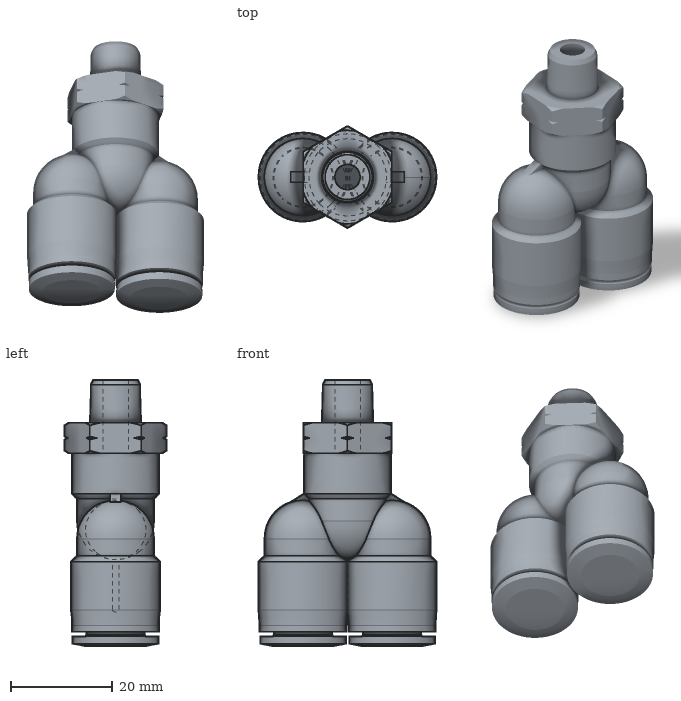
import cadquery as cq
import math

ring_edge_z = 0.5
ring_top_z = 1.95
collar_flare_z = 2.3
sleeve_bottom_z = 2.85
sleeve_taper_bottom_z = 4.2
sleeve_taper_top_z = 7.2
shoulder_bottom_z = 16.75
shoulder_top_z = 17.85
dome_center_z = 21.25
neck_ball_z = 24.8
neck_top_z = 29.15
body_bottom_z = 30.15
hex_bottom_z = 38.1
hex_top_z = 44.15
total_height = 52.6

leg_radius = 8.81
leg_pitch = 17.55
dome_radius = 7.65
sleeve_end_radius = 17.2 / 2
ring_radius = 17.0 / 2
ring_face_radius = 5.75
collar_radius = 11.5 / 2
collar_flare_radius = 5.95

neck_radius = dome_radius
body_radius = 17.2 / 2

hex_corner_diameter = 20.15
hex_corner_radius = hex_corner_diameter / 2
hex_face_radius = 9.2
hex_chamfer_height = 0.5
hex_groove_radius = 9.45
hex_groove_half_height = 0.3

spigot_base_radius = 5.1
spigot_tip_radius = 4.9
spigot_face_radius = 4.4
spigot_chamfer_height = 0.95
bore_diameter = 5.0
bore_depth = total_height - hex_bottom_z

rib_width = 2.1
rib_outer_x = 11.2


def revolve_profile(points):
    """Solid of revolution about Z from (radius, height) points."""
    profile = cq.Workplane("XZ").polyline(points).close()
    return profile.revolve(360, (0, 0, 0), (0, 1, 0))


def make_leg(center_x):
    """Domed tube socket with its release ring."""
    leg = (
        cq.Workplane("XZ")
        .moveTo(0, 0)
        .lineTo(ring_face_radius, 0)
        .lineTo(ring_radius, ring_edge_z)
        .lineTo(ring_radius, ring_top_z)
        .lineTo(collar_flare_radius, ring_top_z)
        .lineTo(collar_radius, collar_flare_z)
        .lineTo(collar_radius, sleeve_bottom_z)
        .lineTo(sleeve_end_radius, sleeve_bottom_z)
        .lineTo(sleeve_end_radius, sleeve_taper_bottom_z)
        .lineTo(leg_radius, sleeve_taper_top_z)
        .lineTo(leg_radius, shoulder_bottom_z)
        .lineTo(dome_radius, shoulder_top_z)
        .lineTo(dome_radius, dome_center_z)
        .radiusArc((0, dome_center_z + dome_radius), -dome_radius)
        .close()
        .revolve(360, (0, 0, 0), (0, 1, 0))
    )
    return leg.translate((center_x, 0, 0))


def make_body():
    """Round-bottomed neck below the cylindrical body."""
    return (
        cq.Workplane("XZ")
        .moveTo(0, neck_ball_z - neck_radius)
        .radiusArc((neck_radius, neck_ball_z), -neck_radius)
        .lineTo(neck_radius, neck_top_z)
        .lineTo(body_radius, body_bottom_z)
        .lineTo(body_radius, hex_bottom_z)
        .lineTo(0, hex_bottom_z)
        .close()
        .revolve(360, (0, 0, 0), (0, 1, 0))
    )


def make_hex():
    """Hexagon with chamfered corners and a shallow V notch halfway up each."""
    prism = (
        cq.Workplane("XY")
        .workplane(offset=hex_bottom_z)
        .polygon(6, hex_corner_diameter)
        .extrude(hex_top_z - hex_bottom_z)
        .rotate((0, 0, 0), (0, 0, 1), 90)
    )
    middle_z = (hex_bottom_z + hex_top_z) / 2
    envelope = revolve_profile([
        (0, hex_bottom_z),
        (hex_face_radius, hex_bottom_z),
        (hex_corner_radius, hex_bottom_z + hex_chamfer_height),
        (hex_corner_radius, middle_z - hex_groove_half_height),
        (hex_groove_radius, middle_z),
        (hex_corner_radius, middle_z + hex_groove_half_height),
        (hex_corner_radius, hex_top_z - hex_chamfer_height),
        (hex_face_radius, hex_top_z),
        (0, hex_top_z),
    ])
    return prism.intersect(envelope)


def make_spigot():
    """Tapered spigot with a chamfered tip."""
    return revolve_profile([
        (0, hex_top_z),
        (spigot_base_radius, hex_top_z),
        (spigot_tip_radius, total_height - spigot_chamfer_height),
        (spigot_face_radius, total_height),
        (0, total_height),
    ])


def make_rib(side):
    """Sloping rib from the body edge down to the dome surface."""
    dome_offset = rib_outer_x - leg_pitch / 2
    rib_outer_z = dome_center_z + math.sqrt(dome_radius**2 - dome_offset**2)
    points = [
        (side * neck_radius, dome_center_z),
        (side * neck_radius, body_bottom_z),
        (side * body_radius, body_bottom_z),
        (side * rib_outer_x, rib_outer_z),
        (side * rib_outer_x, dome_center_z),
    ]
    return cq.Workplane("XZ").polyline(points).close().extrude(rib_width / 2, both=True)


result = make_body().union(make_hex()).union(make_spigot())
for side in (-1, 1):
    result = result.union(make_leg(side * leg_pitch / 2))
    result = result.union(make_rib(side))

bore = (
    cq.Workplane("XY")
    .workplane(offset=total_height - bore_depth)
    .circle(bore_diameter / 2)
    .extrude(bore_depth)
)
result = result.cut(bore)